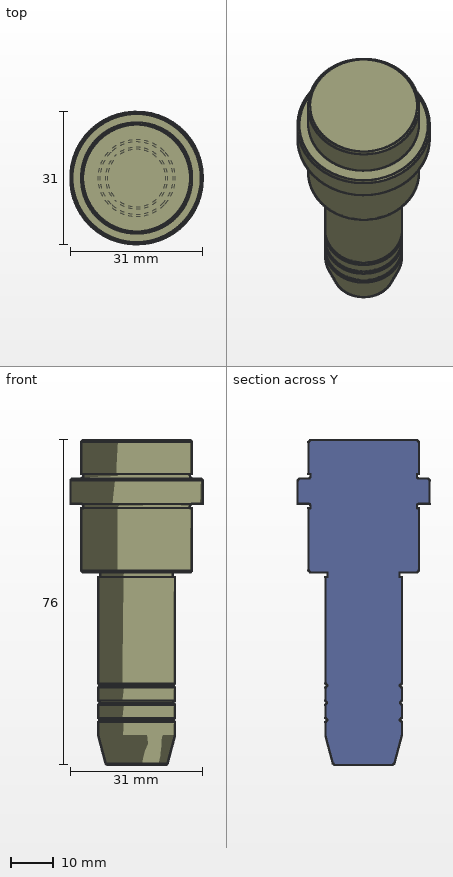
import cadquery as cq

total_height = 76.0
flange_top = 67.0
flange_bottom = 61.0
body_bottom = 45.0
taper_top = 7.0

flange_radius = 15.5
body_radius = 13.0
shank_radius = 9.005
tip_radius = 7.15

edge_chamfer = 0.5
tip_chamfer = 0.4
relief_width = 1.0
relief_depth = 0.5
relief_fillet = 0.45

tolerance = 0.01

groove_width = 1.0
groove_depth = 0.5
groove_count = 3
groove_pitch = 4.0
lowest_groove_center = 10.6


def cylinder(radius, bottom, top):
    return cq.Workplane("XY").workplane(offset=bottom).circle(radius).extrude(top - bottom)


def make_head():
    """Head above the flange, with a relief whose floor blends into the flange."""
    head_bottom = flange_top + relief_width
    head = cylinder(body_radius, head_bottom, total_height).faces(">Z").chamfer(edge_chamfer)
    return head.union(cylinder(body_radius - relief_depth, flange_top, head_bottom))


def make_flange():
    flange = cylinder(flange_radius, flange_bottom, flange_top)
    return flange.faces(">Z").edges().chamfer(edge_chamfer)


def make_body():
    """Body below the flange, with a relief against the flange."""
    body_top = flange_bottom - relief_width
    body = cylinder(body_radius, body_bottom, body_top).faces("<Z").chamfer(edge_chamfer)
    return body.union(cylinder(body_radius - relief_depth, body_top, flange_bottom))


def make_shank():
    """Shank with a relief under the body and a tapered tip."""
    shank_top = body_bottom - relief_width
    tip = (
        cq.Workplane("XZ")
        .polyline([(0, 0), (tip_radius, 0), (shank_radius, taper_top), (0, taper_top)])
        .close()
        .revolve(360, (0, 0), (0, 1))
        .faces("<Z")
        .chamfer(tip_chamfer)
    )
    shank = cylinder(shank_radius, taper_top, shank_top)
    relief = cylinder(shank_radius - relief_depth, shank_top, body_bottom)
    return tip.union(shank).union(relief)


def make_groove(center):
    """Ring with a V-shaped section that cuts one shank groove."""
    half_width = groove_width / 2
    return (
        cq.Workplane("XZ")
        .moveTo(shank_radius, center - half_width)
        .lineTo(shank_radius - groove_depth, center)
        .lineTo(shank_radius, center + half_width)
        .close()
        .revolve(360, (0, 0), (0, 1))
    )


result = make_head().union(make_flange()).union(make_body()).union(make_shank())

for index in range(groove_count):
    result = result.cut(make_groove(lowest_groove_center + index * groove_pitch))

relief_radius = body_radius - relief_depth
relief_corners = [
    edge
    for edge in result.edges("%CIRCLE").vals()
    if abs(edge.radius() - relief_radius) < tolerance
    and min(abs(edge.Center().z - flange_top), abs(edge.Center().z - flange_bottom)) < tolerance
]
result = result.newObject(relief_corners).fillet(relief_fillet)